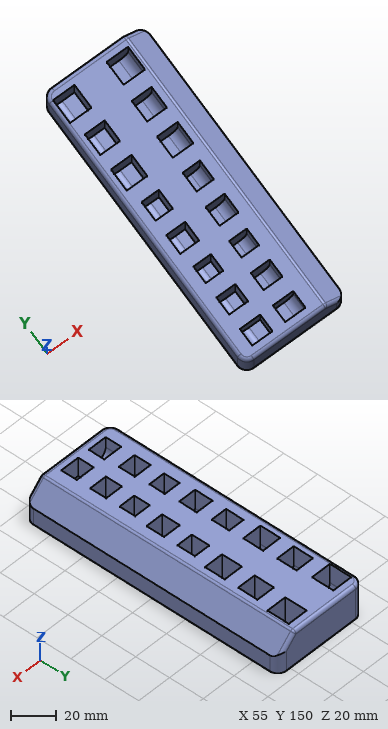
import cadquery as cq
import math

width = 55.0
length = 150.0
height = 20.0
slope_size = 10.4
corner_radius = 5.1
edge_radius = 2.0

pocket_center_x = 22.5
shallow_depth = 11.0
full_depth = 16.0
pocket_round = 5.0
pocket_spacing = 8.0
first_pocket_y = 5.1

pocket_pairs = [
    (14.4, 3.5, 9.2, shallow_depth),
    (14.4, 4.2, 9.5, full_depth),
    (14.4, 5.0, 9.2, full_depth),
    (15.8, 5.5, 10.4, full_depth),
    (15.8, 6.5, 10.4, full_depth),
    (18.0, 6.9, 11.7, full_depth),
    (18.0, 7.4, 11.4, full_depth),
    (20.2, 8.7, 12.6, full_depth),
]


def make_block():
    """Sloped block with rounded corners and rounded top and slope edges."""
    slope_start = width - slope_size
    block = (
        cq.Workplane("XZ")
        .moveTo(0, 0)
        .lineTo(width, 0)
        .lineTo(width, height - slope_size)
        .lineTo(slope_start, height)
        .lineTo(0, height)
        .close()
        .extrude(-length)
    )
    block = block.edges("|Z and <X").fillet(corner_radius)

    top_edges = block.faces(">Z").edges()
    slope_sides = block.edges(cq.selectors.ParallelDirSelector(cq.Vector(1, 0, -1)))
    block = top_edges.add(slope_sides).fillet(edge_radius)

    corner_trim = (
        cq.Workplane("XY")
        .rect(width, length, centered=False)
        .extrude(height)
        .edges("|Z and >X")
        .fillet(corner_radius)
    )
    return block.intersect(corner_trim)


def make_pocket(side, half_span, half_gap, start_y, size_y, depth):
    """Pocket on one side (-1 or +1) of the mirror line."""
    outer_x = pocket_center_x + side * half_span
    inner_x = pocket_center_x + side * half_gap
    round_end_x = outer_x - side * pocket_round
    floor_z = height - depth
    arc_offset = pocket_round * (1 - math.sqrt(0.5))
    return (
        cq.Workplane("XZ", origin=(0, start_y, 0))
        .moveTo(inner_x, height)
        .lineTo(inner_x, floor_z)
        .lineTo(round_end_x, floor_z)
        .threePointArc(
            (outer_x - side * arc_offset, floor_z + arc_offset),
            (outer_x, floor_z + pocket_round),
        )
        .lineTo(outer_x, height)
        .close()
        .extrude(-size_y)
    )


result = make_block()
start_y = first_pocket_y
for half_span, half_gap, size_y, depth in pocket_pairs:
    for side in (-1, 1):
        pocket = make_pocket(side, half_span, half_gap, start_y, size_y, depth)
        result = result.cut(pocket)
    start_y += size_y + pocket_spacing